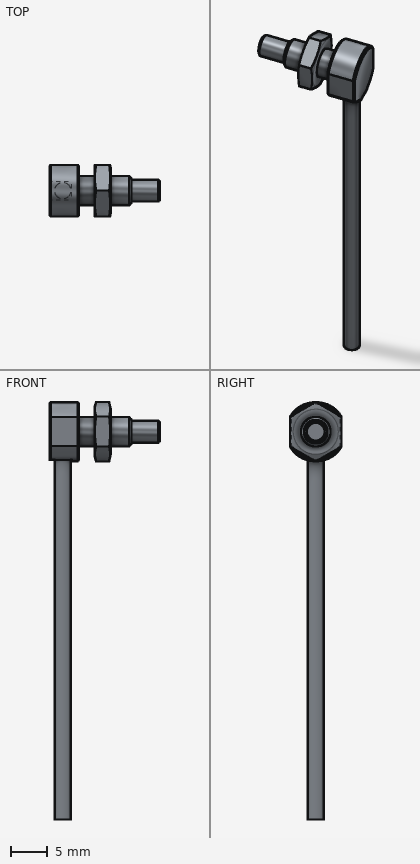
import cadquery as cq
import math

total_height = 56.55
head_diameter = 8.05
head_length = 4.0
across_flats = 7.0
head_chamfer = 0.2

shank_diameter = 4.0
shank_end = 11.15
shank_chamfer = 0.4
tip_diameter = 3.0
tip_end = 15.0
tip_chamfer = 0.3

nut_start = 6.1
nut_thickness = 2.2
nut_chamfer = 0.2
nut_inner_face_radius = 3.35
nut_outer_face_radius = 3.05

cable_diameter = 2.2
cable_x = 1.8
insert_width = 2.55
insert_length = 3.0

head_radius = head_diameter / 2
insert_bottom = -math.sqrt(head_radius**2 - (insert_width / 2) ** 2)
nut_corner_diameter = across_flats / math.cos(math.radians(30))
nut_corner_radius = nut_corner_diameter / 2
top_z = max(head_radius, nut_corner_radius)
cable_bottom = top_z - total_height


def rod(diameter, start, end):
    """Cylinder on the screw axis between two X positions."""
    return cq.Workplane("YZ", origin=(start, 0, 0)).circle(diameter / 2).extrude(end - start)


def make_head():
    """Round head with two flats and a cable-entry insert that ends in a flat."""
    flats = cq.Workplane("XY").box(3 * head_length, across_flats, 2 * head_diameter)
    head = rod(head_diameter, 0, head_length).intersect(flats)
    head = head.faces("<X or >X").edges().chamfer(head_chamfer)
    below_insert = (
        cq.Workplane("XY", origin=(0, 0, insert_bottom))
        .rect(2 * insert_length, insert_width)
        .extrude(-head_radius)
    )
    insert = (
        cq.Workplane("XY", origin=(insert_length / 2, 0, insert_bottom))
        .rect(insert_length, insert_width)
        .extrude(-insert_bottom)
    )
    return head.cut(below_insert).union(insert)


def make_screw():
    """Shank and slimmer tip, each with a chamfered free end."""
    shank = rod(shank_diameter, 0.5 * head_length, shank_end)
    shank = shank.faces(">X").edges().chamfer(shank_chamfer)
    tip = rod(tip_diameter, nut_start, tip_end)
    tip = tip.faces(">X").edges().chamfer(tip_chamfer)
    return shank.union(tip)


def make_nut():
    """Hexagon nut with corners up and down and a conical chamfer at each end."""
    nut_end = nut_start + nut_thickness
    hexagon = (
        cq.Workplane("YZ", origin=(nut_start, 0, 0))
        .polygon(6, nut_corner_diameter)
        .extrude(nut_thickness)
        .rotate((0, 0, 0), (1, 0, 0), 90)
    )
    envelope = (
        cq.Workplane("XY")
        .moveTo(nut_start, 0)
        .lineTo(nut_start, nut_inner_face_radius)
        .lineTo(nut_start + nut_chamfer, nut_corner_radius)
        .lineTo(nut_end - nut_chamfer, nut_corner_radius)
        .lineTo(nut_end, nut_outer_face_radius)
        .lineTo(nut_end, 0)
        .close()
        .revolve(360, (0, 0, 0), (1, 0, 0))
    )
    return hexagon.intersect(envelope)


def make_cable():
    """Straight round cable running down from inside the head."""
    return (
        cq.Workplane("XY", origin=(cable_x, 0, cable_bottom))
        .circle(cable_diameter / 2)
        .extrude(-cable_bottom)
    )


result = make_head().union(make_screw()).union(make_nut()).union(make_cable())